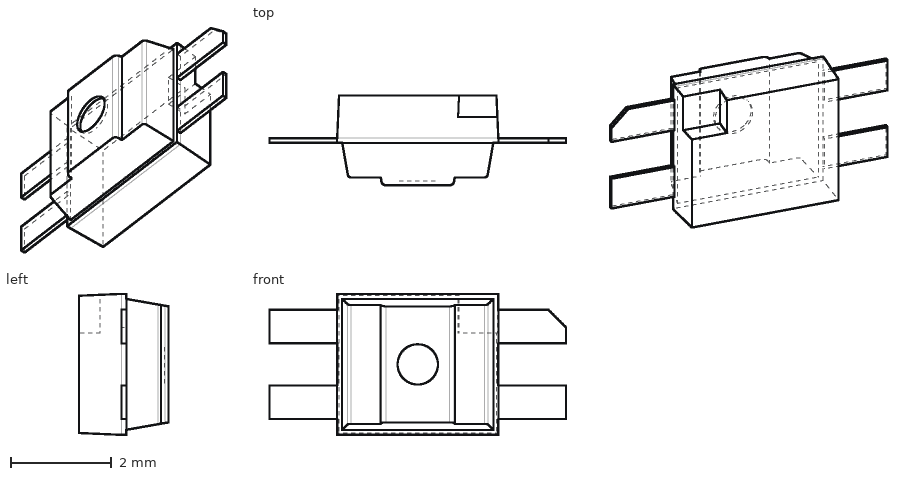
import cadquery as cq
import math


SPAN = 5.88
LEAD_HEIGHT = 0.67
LEAD_THICKNESS = 0.095
LEAD_PITCH = 1.5
LEAD_CHAMFER = 0.35

FLANGE_WIDTH = 3.2
FLANGE_HEIGHT = 2.8
REAR_DEPTH = 0.845
REAR_DRAFT = math.radians(2.5)

FRONT_WIDTH = 3.0
FRONT_HEIGHT = 2.6
FRONT_DEPTH = 0.84
FRONT_DRAFT = math.radians(10)
SHOULDER_DEPTH = 0.69
SHOULDER_ROUND = 0.07
RIDGE_WIDTH = 1.47
RIDGE_ROUND = 0.09

RECESS_DIAMETER = 0.8
RECESS_DEPTH = 0.08

NOTCH_LEFT = 0.8
NOTCH_DEPTH = 0.425
NOTCH_HEIGHT = 0.775

REAR_FACE_Y = LEAD_THICKNESS + REAR_DEPTH


def make_flange():
    return cq.Workplane("XY").box(
        FLANGE_WIDTH, LEAD_THICKNESS, FLANGE_HEIGHT
    ).translate((0, LEAD_THICKNESS / 2, 0))


def make_rear_block():
    """Drafted block behind the flange with one notched corner."""
    inset = REAR_DEPTH * math.tan(REAR_DRAFT)
    block = (
        cq.Workplane("XZ", origin=(0, LEAD_THICKNESS, 0))
        .rect(FLANGE_WIDTH, FLANGE_HEIGHT)
        .workplane(offset=-REAR_DEPTH)
        .rect(FLANGE_WIDTH - 2 * inset, FLANGE_HEIGHT - 2 * inset)
        .loft(ruled=True)
    )
    notch_floor_y = REAR_FACE_Y - NOTCH_DEPTH
    notch_left_at_rear = NOTCH_LEFT + NOTCH_DEPTH * math.tan(REAR_DRAFT)
    notch = (
        cq.Workplane("XY", origin=(0, 0, FLANGE_HEIGHT / 2 - NOTCH_HEIGHT))
        .moveTo(NOTCH_LEFT, notch_floor_y)
        .lineTo(FLANGE_WIDTH / 2, notch_floor_y)
        .lineTo(FLANGE_WIDTH / 2, REAR_FACE_Y)
        .lineTo(notch_left_at_rear, REAR_FACE_Y)
        .close()
        .extrude(NOTCH_HEIGHT)
    )
    return block.cut(notch)


def front_profile():
    """Stepped section of the front block, extruded over its full height."""
    half_base = FRONT_WIDTH / 2
    half_shoulder = half_base - SHOULDER_DEPTH * math.tan(FRONT_DRAFT)
    half_ridge = RIDGE_WIDTH / 2
    half_ridge_tip = half_ridge - (FRONT_DEPTH - SHOULDER_DEPTH) * math.tan(FRONT_DRAFT)
    profile = (
        cq.Workplane("XY", origin=(0, 0, -FRONT_HEIGHT / 2))
        .moveTo(-half_base, 0)
        .lineTo(-half_shoulder, -SHOULDER_DEPTH)
        .lineTo(-half_ridge, -SHOULDER_DEPTH)
        .lineTo(-half_ridge_tip, -FRONT_DEPTH)
        .lineTo(half_ridge_tip, -FRONT_DEPTH)
        .lineTo(half_ridge, -SHOULDER_DEPTH)
        .lineTo(half_shoulder, -SHOULDER_DEPTH)
        .lineTo(half_base, 0)
        .close()
        .extrude(FRONT_HEIGHT)
    )
    profile = profile.faces("<Y").edges("|Z").fillet(RIDGE_ROUND)
    shoulder_corners = [
        cq.selectors.NearestToPointSelector((side * half_shoulder, -SHOULDER_DEPTH, 0))
        for side in (-1, 1)
    ]
    return profile.edges(shoulder_corners[0] + shoulder_corners[1]).fillet(SHOULDER_ROUND)


def make_front_block():
    inset = FRONT_DEPTH * math.tan(FRONT_DRAFT)
    half_base = FRONT_HEIGHT / 2
    half_tip = half_base - inset
    side_profile = (
        cq.Workplane("YZ", origin=(-FRONT_WIDTH / 2, 0, 0))
        .polyline([(0, -half_base), (0, half_base), (-FRONT_DEPTH, half_tip), (-FRONT_DEPTH, -half_tip)])
        .close()
        .extrude(FRONT_WIDTH)
    )
    recess = (
        cq.Workplane("XZ", origin=(0, -FRONT_DEPTH + RECESS_DEPTH, 0))
        .circle(RECESS_DIAMETER / 2)
        .extrude(RECESS_DEPTH)
    )
    return front_profile().intersect(side_profile).cut(recess)


def make_housing():
    return make_flange().union(make_rear_block()).union(make_front_block())


def make_lead(side, row):
    """Flat lead against the flange; side and row are -1 or +1 along X and Z."""
    length = (SPAN - FLANGE_WIDTH) / 2
    center_x = side * (FLANGE_WIDTH + length) / 2
    lead = cq.Workplane("XY").box(length, LEAD_THICKNESS, LEAD_HEIGHT).translate(
        (center_x, LEAD_THICKNESS / 2, row * LEAD_PITCH / 2)
    )
    if side == 1 and row == 1:
        lead = lead.edges(">X and >Z").chamfer(LEAD_CHAMFER)
    return lead


housing = make_housing()
leads = [make_lead(side, row) for side in (-1, 1) for row in (-1, 1)]

result = cq.Compound.makeCompound([housing.val(), *[lead.val() for lead in leads]])